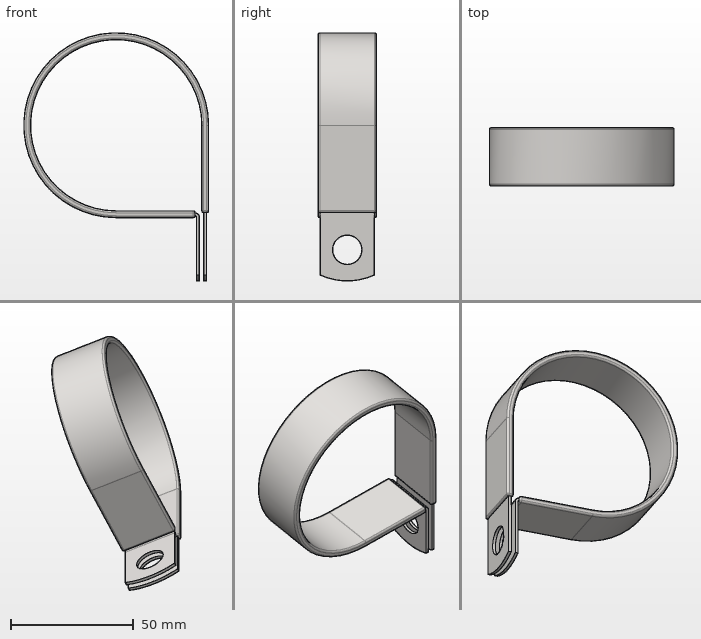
import cadquery as cq
import math


clamp_height = 101.2
cushion_diameter = 75.4
cushion_width = 23.8
cushion_rim = 0.8
band_thickness = 1.2
cushion_end_z = -35.6
cushion_end_x = 32.2
bent_tab_outer_x = 33.9
bend_inner_radius = 0.6
hole_diameter = 11.8
hole_above_tip = 12.8
tab_tip_rise = 2.4

cushion_outer_radius = cushion_diameter / 2
cushion_thickness = band_thickness + 2 * cushion_rim
cushion_inner_radius = cushion_outer_radius - cushion_thickness
band_outer_radius = cushion_outer_radius - cushion_rim
band_inner_radius = band_outer_radius - band_thickness
band_width = cushion_width - 2 * cushion_rim
tab_tip_z = cushion_outer_radius - clamp_height
hole_z = tab_tip_z + hole_above_tip
bent_tab_inner_x = bent_tab_outer_x - band_thickness
bend_outer_radius = bend_inner_radius + band_thickness
bend_center_x = bent_tab_outer_x - bend_outer_radius
bend_center_z = -band_inner_radius - bend_outer_radius
diagonal = math.sqrt(0.5)


def make_cushion():
    """Three-quarter ring with two straight legs and rounded edges."""
    outer = cushion_outer_radius
    inner = cushion_inner_radius
    body = (
        cq.Workplane("XZ")
        .moveTo(outer, cushion_end_z)
        .lineTo(outer, 0)
        .threePointArc((-outer * diagonal, outer * diagonal), (0, -outer))
        .lineTo(cushion_end_x, -outer)
        .lineTo(cushion_end_x, -inner)
        .lineTo(0, -inner)
        .threePointArc((-inner * diagonal, inner * diagonal), (inner, 0))
        .lineTo(inner, cushion_end_z)
        .close()
        .extrude(cushion_width / 2, both=True)
    )
    middle_radius = (outer + inner) / 2
    vertical_leg_end = cq.selectors.NearestToPointSelector((middle_radius, 0, cushion_end_z))
    horizontal_leg_end = cq.selectors.NearestToPointSelector((cushion_end_x, 0, -middle_radius))
    rounded_faces = body.faces("<Y or >Y").add(body.faces(vertical_leg_end))
    return rounded_faces.add(body.faces(horizontal_leg_end)).edges().fillet(cushion_rim)


def make_straight_tab():
    """Band end continuing straight down from the vertical leg."""
    return (
        cq.Workplane("XZ")
        .moveTo(band_inner_radius, 0)
        .lineTo(band_outer_radius, 0)
        .lineTo(band_outer_radius, tab_tip_z)
        .lineTo(band_inner_radius, tab_tip_z)
        .close()
        .extrude(band_width / 2, both=True)
    )


def make_bent_tab():
    """Band end leaving the horizontal leg and bending down."""
    def bend_middle(radius):
        return (bend_center_x + radius * diagonal, bend_center_z + radius * diagonal)

    return (
        cq.Workplane("XZ")
        .moveTo(0, -band_inner_radius)
        .lineTo(bend_center_x, -band_inner_radius)
        .threePointArc(bend_middle(bend_outer_radius), (bent_tab_outer_x, bend_center_z))
        .lineTo(bent_tab_outer_x, tab_tip_z)
        .lineTo(bent_tab_inner_x, tab_tip_z)
        .lineTo(bent_tab_inner_x, bend_center_z)
        .threePointArc(bend_middle(bend_inner_radius), (bend_center_x, -band_outer_radius))
        .lineTo(0, -band_outer_radius)
        .close()
        .extrude(band_width / 2, both=True)
    )


def make_tab_envelope():
    """Side outline shared by both tabs: a curved tip and a bolt hole."""
    half_width = band_width / 2
    corner_z = tab_tip_z + tab_tip_rise
    return (
        cq.Workplane("YZ")
        .moveTo(-half_width, 0)
        .lineTo(-half_width, corner_z)
        .threePointArc((0, tab_tip_z), (half_width, corner_z))
        .lineTo(half_width, 0)
        .close()
        .moveTo(0, hole_z)
        .circle(hole_diameter / 2)
        .extrude(cushion_outer_radius)
    )


tabs = make_straight_tab().union(make_bent_tab()).intersect(make_tab_envelope())
result = make_cushion().union(tabs)